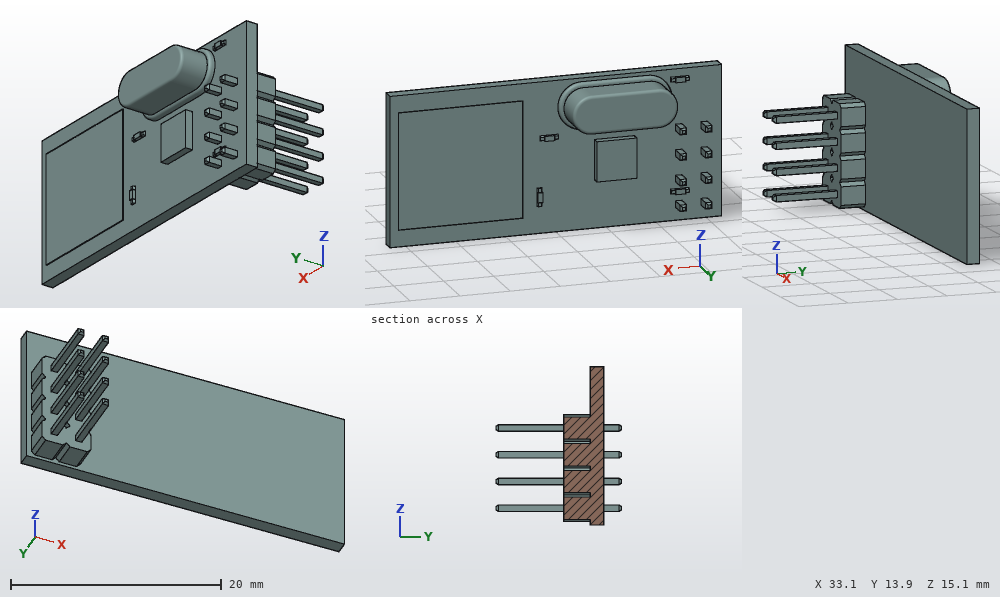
import cadquery as cq


board_length = 33.11
board_height = 15.06
board_thickness = 1.3
back_face = board_thickness

pitch = 2.54
columns = 2
rows = 4
header_center_x = 3.03
header_center_z = 5.43
header_depth = 2.5
cell_chamfer = 0.37

pin_width = 0.64
pin_front_reach = 8.95
pin_back_reach = 1.7
tip_length = 0.25
tip_inset = 0.17
tip_width = pin_width - 2 * tip_inset

crystal_straight = 6.66
can_top = 3.6
can_width = 3.8
can_fillet = 0.3
flange_width = 4.64
flange_height = 0.6
flange_fillet = 0.3
crystal_x = 10.71
crystal_z = 12.37

chip_side = 4.0
chip_height = 0.8
chip_z = 6.82

block_length = 1.0
block_width = 0.5
block_height = 0.35
joint_length = 0.4
joint_height = 0.24
joint_top_width = 0.3
horizontal_parts = [(4.19, 14.03), (17.25, 9.45), (4.19, 2.9)]
vertical_parts = [(18.2, 3.64)]

antenna_left = 19.88
antenna_right = 32.28
antenna_margin_z = 1.7
antenna_thickness = 0.1


def plane_at(y):
    """Workplane at depth y: local x is X, local y is Z, and the normal points to -Y."""
    return cq.Workplane("XZ", origin=(0, y, 0))


def grid():
    """X, Z centers of the header positions."""
    left = header_center_x - pitch * (columns - 1) / 2
    bottom = header_center_z - pitch * (rows - 1) / 2
    return [(left + c * pitch, bottom + r * pitch) for c in range(columns) for r in range(rows)]


def make_board():
    return cq.Workplane("XY").box(board_length, board_thickness, board_height, centered=False)


def make_header():
    """Rectangular block with chamfered corners, edge notches and diamond holes where cells meet."""
    width = columns * pitch
    height = rows * pitch
    left = header_center_x - width / 2
    bottom = header_center_z - height / 2
    block = plane_at(0).center(header_center_x, header_center_z).rect(width, height).extrude(header_depth)
    corners = [(left + c * pitch, bottom + r * pitch) for c in range(columns + 1) for r in range(rows + 1)]
    diamonds = plane_at(0).pushPoints(corners).polygon(4, 2 * cell_chamfer).extrude(header_depth)
    return block.cut(diamonds)


def pin_tip(x, z, y_base, direction):
    """Tapered pin end starting at y_base; direction is +1 toward +Y and -1 toward -Y."""
    return (
        plane_at(y_base)
        .center(x, z)
        .rect(pin_width, pin_width)
        .workplane(offset=-direction * tip_length)
        .rect(tip_width, tip_width)
        .loft(combine=True)
    )


def make_pin(x, z):
    front_shoulder = tip_length - pin_front_reach
    back_shoulder = back_face + pin_back_reach - tip_length
    shaft_length = back_shoulder - front_shoulder
    shaft = plane_at(back_shoulder).center(x, z).rect(pin_width, pin_width).extrude(shaft_length)
    return shaft.union(pin_tip(x, z, back_shoulder, 1)).union(pin_tip(x, z, front_shoulder, -1))


def obround(width, height, fillet):
    """Obround slab on the back face, centered on the crystal, with its far edge rounded."""
    slab = plane_at(back_face).center(crystal_x, crystal_z)
    slab = slab.slot2D(crystal_straight + width, width).extrude(-height)
    return slab.faces(">Y").edges().fillet(fillet)


def make_crystal():
    flange = obround(flange_width, flange_height, flange_fillet)
    return flange.union(obround(can_width, can_top, can_fillet))


def make_chip():
    return plane_at(back_face).center(crystal_x, chip_z).rect(chip_side, chip_side).extrude(-chip_height)


def make_small_part(x, z, angle):
    """Surface mounted part centered at x, z; its long axis is turned by angle from X."""
    block = plane_at(back_face).rect(block_length, block_width).extrude(-block_height)
    joint_span = block_length + 2 * joint_length
    joint_profile = [
        (back_face, -block_width / 2),
        (back_face, block_width / 2),
        (back_face + joint_height, joint_top_width / 2),
        (back_face + joint_height, -joint_top_width / 2),
    ]
    joint_end = cq.Workplane("YZ", origin=(-joint_span / 2, 0, 0))
    joints = joint_end.polyline(joint_profile).close().extrude(joint_span)
    part = block.union(joints).rotate((0, 0, 0), (0, 1, 0), angle)
    return part.translate((x, 0, z))


def make_antenna():
    length = antenna_right - antenna_left
    height = board_height - 2 * antenna_margin_z
    patch = cq.Workplane("XY").box(length, antenna_thickness, height, centered=False)
    return patch.translate((antenna_left, back_face, antenna_margin_z))


result = make_board().union(make_header())
for pin_x, pin_z in grid():
    result = result.union(make_pin(pin_x, pin_z))
result = result.union(make_crystal()).union(make_chip()).union(make_antenna())
for part_x, part_z in horizontal_parts:
    result = result.union(make_small_part(part_x, part_z, angle=0))
for part_x, part_z in vertical_parts:
    result = result.union(make_small_part(part_x, part_z, angle=90))